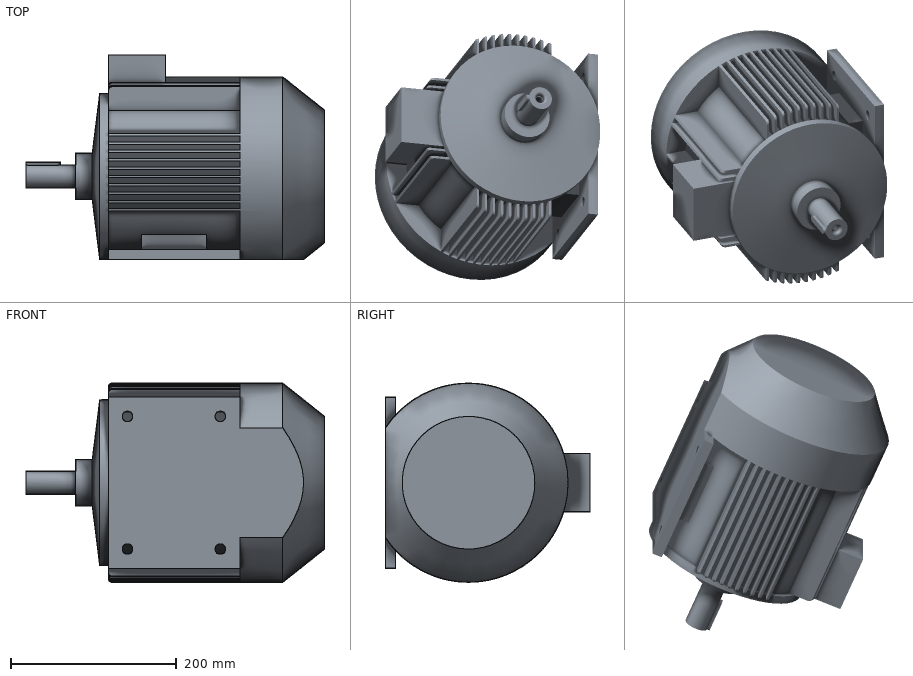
import cadquery as cq
import math

length = 360.0
collar_start = 59.8
cone_start = 80.0
flange_start = 89.0
body_start = 99.5
cowl_start = 258.0
cowl_taper_start = 309.5

shaft_radius = 14.0
collar_radius = 28.0
flange_radius = 100.0
body_radius = 95.0
cowl_radius = length / 3
cowl_end_radius = 80.0

center_mouth_radius = 7.5
center_step_radius = 6.0
center_pilot_radius = 5.5
center_core_radius = 4.5
center_step_depth = 0.7
center_pilot_start = 2.0
center_pilot_depth = 7.5
center_core_depth = 30.0
drill_half_angle = math.radians(59)

key_length = 41.5
key_width = 8.0
key_top = 17.3
key_bottom = 10.0

fin_pitch = 10.0
fin_thickness = 3.0
fin_corner_radius = 4.5
fin_overlap = 3.5
fin_root_radius = body_radius - fin_overlap
first_upright_fin = -4
last_upright_fin = 5
side_fins = (-5, -4, 0, 4, 5)

box_length = 69.0
box_height = 70.5
box_top = 146.5

plate_face = -100.0
plate_thickness = 12.2
plate_height = 206.5
pad_start = 139.5
pad_length = 78.5
pad_height = 129.0
hole_diameter = 12.5
hole_edge_distance = 23.0
hole_spacing_x = 112.0
hole_spacing_z = 160.0

body_length = cowl_start - body_start
plate_back = plate_face + plate_thickness


def turned(outline):
    """Solid of revolution about the X axis from (x, radius) points starting and ending on it."""
    return cq.Workplane("XY").polyline(outline).close().revolve(360, (0, 0, 0), (1, 0, 0))


def block(x, y, z):
    """Box given by its (low, high) limits on each axis."""
    size = [high - low for low, high in (x, y, z)]
    return cq.Workplane("XY").box(*size, centered=False).translate((x[0], y[0], z[0]))


def make_core():
    return turned([
        (0, 0),
        (0, shaft_radius),
        (collar_start, shaft_radius),
        (collar_start, collar_radius),
        (cone_start, collar_radius),
        (flange_start, flange_radius),
        (body_start, flange_radius),
        (body_start, body_radius),
        (cowl_start, body_radius),
        (cowl_start, cowl_radius),
        (cowl_taper_start, cowl_radius),
        (length, cowl_end_radius),
        (length, 0),
    ])


def make_center_hole():
    core_tip = center_core_depth + center_core_radius / math.tan(drill_half_angle)
    return turned([
        (0, 0),
        (0, center_mouth_radius),
        (center_step_depth, center_step_radius),
        (center_pilot_start, center_pilot_radius),
        (center_pilot_depth, center_pilot_radius),
        (center_pilot_depth, center_core_radius),
        (center_core_depth, center_core_radius),
        (core_tip, 0),
    ])


def make_key():
    """Key with full-round ends, sunk part way into the shaft."""
    return (
        cq.Workplane("XZ", origin=(key_length / 2, key_bottom, 0))
        .slot2D(key_length, key_width)
        .extrude(key_bottom - key_top)
    )


def make_fins():
    """Parallel fins cut from a ring whose front rim is rounded."""
    ring = (
        cq.Workplane("YZ", origin=(body_start, 0, 0))
        .circle(cowl_radius)
        .extrude(body_length)
        .faces("<X")
        .edges()
        .fillet(fin_corner_radius)
        .cut(cq.Workplane("YZ").circle(fin_root_radius).extrude(length))
    )
    axial = (body_start, cowl_start)
    slabs = cq.Workplane("XY")
    for index in range(first_upright_fin, last_upright_fin + 1):
        y = index * fin_pitch
        width = (y - fin_thickness / 2, y + fin_thickness / 2)
        slabs = slabs.add(block(axial, width, (-cowl_radius, cowl_radius)))
    for index in side_fins:
        z = index * fin_pitch
        width = (z - fin_thickness / 2, z + fin_thickness / 2)
        slabs = slabs.add(block(axial, (0, cowl_radius), width))
    return ring.intersect(slabs.combine())


def make_terminal_box():
    return block(
        (body_start, body_start + box_length),
        (0, box_top),
        (-box_height / 2, box_height / 2),
    )


def make_mount():
    """Plate with four through holes, on a pad that runs into the body."""
    hole_x = body_start + hole_edge_distance + hole_spacing_x / 2
    plate = block(
        (body_start, cowl_start),
        (plate_face, plate_back),
        (-plate_height / 2, plate_height / 2),
    )
    holes = (
        cq.Workplane("XZ", origin=(hole_x, plate_back, 0))
        .rarray(hole_spacing_x, hole_spacing_z, 2, 2)
        .circle(hole_diameter / 2)
        .extrude(plate_thickness)
    )
    pad = block(
        (pad_start, pad_start + pad_length),
        (plate_back, 0),
        (-pad_height / 2, pad_height / 2),
    )
    return plate.cut(holes).union(pad)


def make_flat_cut():
    """Everything beyond the mounting face, which trims the cowl flush with the plate."""
    return block(
        (body_start, length),
        (-cowl_radius, plate_face),
        (-cowl_radius, cowl_radius),
    )


result = (
    make_core()
    .cut(make_flat_cut())
    .union(make_fins())
    .union(make_terminal_box())
    .union(make_mount())
    .union(make_key())
    .cut(make_center_hole())
)